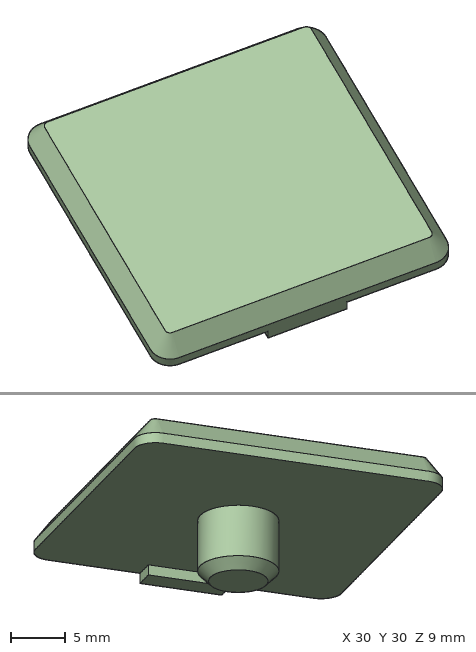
import cadquery as cq

plate_side = 30.0
plate_thickness = 3.0
corner_radius = 2.0
bevel_height = 2.0
bevel_inset = 1.5

pin_diameter = 7.45
pin_length = 6.0
pin_chamfer = 1.0

tab_length = 2.2
tab_width = 8.0
tab_depth = 1.0


def make_plate():
    """Rounded square plate, underside at Z = 0, with a beveled top rim."""
    plate = (
        cq.Workplane("XY")
        .rect(plate_side, plate_side)
        .extrude(plate_thickness)
        .edges("|Z")
        .fillet(corner_radius)
    )
    return plate.faces(">Z").chamfer(bevel_height, bevel_inset)


def make_pin():
    """Pin hanging from the underside, with a chamfered tip."""
    pin = cq.Workplane("XY").circle(pin_diameter / 2).extrude(-pin_length)
    return pin.faces("<Z").chamfer(pin_chamfer)


def make_tab():
    """Rectangular tab below the plate, flush with its +X side."""
    tab_center_x = (plate_side - tab_length) / 2
    return cq.Workplane("XY").center(tab_center_x, 0).rect(tab_length, tab_width).extrude(-tab_depth)


result = make_plate().union(make_pin()).union(make_tab())